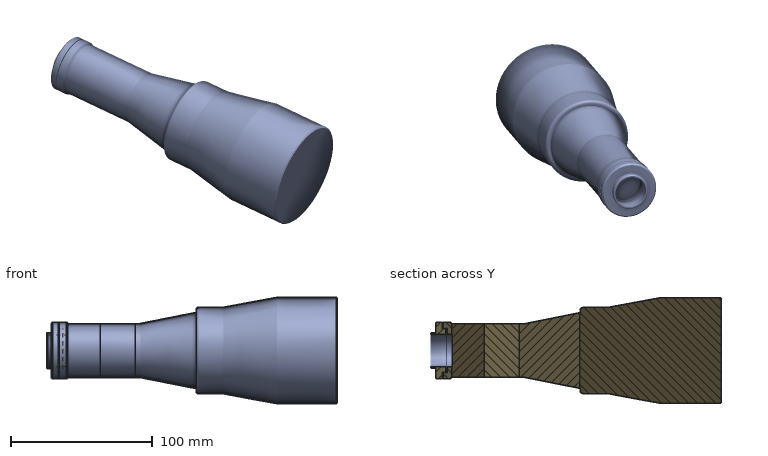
import cadquery as cq
import math

FLANGE_FRONT = 3.3
FLANGE_BACK = 8.2
SPIGOT_END = 10.9
RING_BACK = 15.0
IRIS_START = 37.9
NECK_START = 62.5
CONE_START = 66.1
COLLAR_FRONT = 105.2
COLLAR_BACK = 124.7
HEAD_START = 162.3
TOTAL_LENGTH = 204.7

MOUNT_GAP = 0.6
RING_FRONT = FLANGE_BACK + MOUNT_GAP
RECESS_FLOOR = SPIGOT_END + MOUNT_GAP

BORE_RADIUS = 11.3
NOSE_RADIUS = 12.7
SPIGOT_RADIUS = 15.4
TUBE_RADIUS = 19.0
CONE_END_RADIUS = 26.8
COLLAR_RADIUS = 30.5
HEAD_RADIUS = 37.5

RING_CHAMFER = 1.0
RING_RADIUS = TUBE_RADIUS + RING_CHAMFER
NOSE_CHAMFER = 0.6
COLLAR_FILLET = 2.0
HEAD_CHAMFER = 0.8


def turned(profile):
    """Close a profile of (x, radius) points and turn it about the X axis."""
    return profile.close().revolve(360, (0, 0, 0), (1, 0, 0))


def make_mount():
    """Flange with a short nose in front and a spigot behind, bored through."""
    return turned(
        cq.Workplane("XZ").polyline([
            (0, BORE_RADIUS),
            (0, NOSE_RADIUS - NOSE_CHAMFER),
            (NOSE_CHAMFER, NOSE_RADIUS),
            (FLANGE_FRONT, NOSE_RADIUS),
            (FLANGE_FRONT, RING_RADIUS - RING_CHAMFER),
            (FLANGE_FRONT + RING_CHAMFER, RING_RADIUS),
            (FLANGE_BACK, RING_RADIUS),
            (FLANGE_BACK, SPIGOT_RADIUS),
            (SPIGOT_END, SPIGOT_RADIUS),
            (SPIGOT_END, BORE_RADIUS),
        ])
    )


def make_lock_ring():
    """Ring whose recess takes the spigot of the mount; its bore is closed by the rear tube."""
    return turned(
        cq.Workplane("XZ").polyline([
            (RING_FRONT, SPIGOT_RADIUS),
            (RING_FRONT, RING_RADIUS),
            (RING_BACK - RING_CHAMFER, RING_RADIUS),
            (RING_BACK, RING_RADIUS - RING_CHAMFER),
            (RING_BACK, BORE_RADIUS),
            (RECESS_FLOOR, BORE_RADIUS),
            (RECESS_FLOOR, SPIGOT_RADIUS),
        ])
    )


def make_tube(start, end):
    """Plain cylindrical section between two stations along X."""
    return cq.Workplane("YZ", origin=(start, 0, 0)).circle(TUBE_RADIUS).extrude(end - start)


def make_cone():
    """Short cylindrical neck that widens into a cone up to the collar."""
    return turned(
        cq.Workplane("XZ").polyline([
            (NECK_START, 0),
            (NECK_START, TUBE_RADIUS),
            (CONE_START, TUBE_RADIUS),
            (COLLAR_FRONT, CONE_END_RADIUS),
            (COLLAR_FRONT, 0),
        ])
    )


def make_front_barrel():
    """Collar with a rounded front edge, a second cone and the cylindrical head."""
    arc_reach = COLLAR_FILLET * (1 - math.sqrt(0.5))
    return turned(
        cq.Workplane("XZ")
        .moveTo(COLLAR_FRONT, 0)
        .lineTo(COLLAR_FRONT, COLLAR_RADIUS - COLLAR_FILLET)
        .threePointArc(
            (COLLAR_FRONT + arc_reach, COLLAR_RADIUS - arc_reach),
            (COLLAR_FRONT + COLLAR_FILLET, COLLAR_RADIUS),
        )
        .lineTo(COLLAR_BACK, COLLAR_RADIUS)
        .lineTo(HEAD_START, HEAD_RADIUS)
        .lineTo(TOTAL_LENGTH - HEAD_CHAMFER, HEAD_RADIUS)
        .lineTo(TOTAL_LENGTH, HEAD_RADIUS - HEAD_CHAMFER)
        .lineTo(TOTAL_LENGTH, 0)
    )


mount = make_mount()
lock_ring = make_lock_ring()
rear_tube = make_tube(RING_BACK, IRIS_START)
iris_tube = make_tube(IRIS_START, NECK_START)
cone = make_cone()
front_barrel = make_front_barrel()

bodies = [mount, lock_ring, rear_tube, iris_tube, cone, front_barrel]
result = cq.Compound.makeCompound([body.val() for body in bodies])